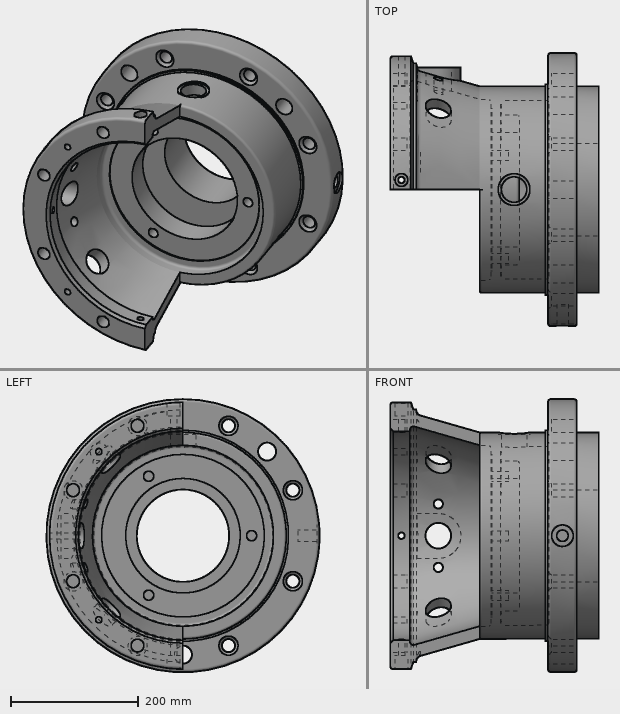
import cadquery as cq
import math

total_length = 328.0
body_front = 140.5
step_front = 244.0
rear_flange_front = 248.0
rear_flange_back = 293.5

rear_flange_radius = 215.0
front_flange_radius = 210.0
body_radius = 325.0 / 2
step_radius = 166.0
flange_round = 4.7
body_round = 4.0

bell_slope = math.tan(math.radians(16))
front_land_end = 32.5
shoulder_start = 36.5
shoulder_end = 41.3
shoulder_radius = 198.5
shoulder_round = 8.5
shoulder_foot_radius = body_radius + (body_front - shoulder_end) * bell_slope
bell_bore_radius = 164.3
bell_bore_end = 31.0
bell_bore_chamfer = 4.7
mouth_radius = 142.5
bell_cone_radius = mouth_radius + (body_front - bell_bore_end) * bell_slope
bell_cone_round = 5.5

mouth_floor = 158.0
recess_radius = 256.0 / 2
recess_floor = 160.0
hub_bore_radius = 180.0 / 2
hub_radius = 236.0 / 2
hub_end = 203.0
cavity_radius = 140.5
cavity_front = 173.5
cavity_back = 249.5
rear_bore_radius = 145.0 / 2
inner_round = 4.7

bolt_circle_radius = 187.0
rear_bolt_angles = [22.5 + 45 * i for i in range(8)]
front_bolt_angles = [-67.5, -22.5, 22.5, 67.5]
front_pin_angles = [-45, 45]
bolt_diameter = 20.0
front_pin_diameter = 10.0
front_hole_depth = 26.0
bolt_sink_diameter = 30.0
jack_hole_diameter = 28.0
jack_hole_angles = [45, 135, 270]
hub_hole_diameter = 16.0
hub_hole_circle_radius = 108.0
hub_hole_depth = 26.0
hub_hole_angles = [60, 180, 300]

window_x = 75.5
window_diameter = 40.0
window_angles = [-45, 0, 45]
boss_radius = 35.3
boss_top = 192.0
pilot_diameter = 14.0
pilot_offset = 50.0

flange_hole_x = 17.5
flange_hole_diameter = 10.0
joint_hole_y = 15.0
joint_sink_diameter = 20.0
joint_sink_depth = 21.5

port_x = 195.0
port_diameter = 40.0
port_spot_diameter = 50.0
port_spot_depth = 3.0
rim_hole_x = (rear_flange_front + rear_flange_back) / 2
rim_hole_diameter = 18.0
rim_hole_depth = 34.5
rim_spot_diameter = 34.0
rim_spot_depth = 4.5

ALONG_X = (1, 0, 0)


def turned(corners, angle=360):
    """Revolve a closed outline about the X axis, from +Z through +Y.

    Each corner is (x, radius) or (x, radius, rounding radius).
    """
    path = None
    for i, corner in enumerate(corners):
        here = cq.Vector(*corner[:2])
        if len(corner) == 2:
            stops = [here]
        else:
            to_previous = (cq.Vector(*corners[i - 1][:2]) - here).normalized()
            to_next = (cq.Vector(*corners[(i + 1) % len(corners)][:2]) - here).normalized()
            half_angle = to_previous.getAngle(to_next) / 2
            setback = corner[2] / math.tan(half_angle)
            bulge = corner[2] / math.sin(half_angle) - corner[2]
            middle = here + (to_previous + to_next).normalized() * bulge
            stops = [here + to_previous * setback, middle, here + to_next * setback]
        stops = [stop.toTuple()[:2] for stop in stops]
        path = path.lineTo(*stops[0]) if path else cq.Workplane("XZ").moveTo(*stops[0])
        if len(stops) == 3:
            path = path.threePointArc(stops[1], stops[2])
    return path.close().revolve(angle, (0, 0, 0), (-1, 0, 0))


def rod(diameter, start, direction, length):
    """Solid cylinder from a start point along a direction."""
    return cq.Workplane(
        cq.Solid.makeCylinder(diameter / 2, length, cq.Vector(*start), cq.Vector(*direction))
    )


def polar(x, radius, angle):
    """Point at station x, with the angle measured from +Y towards +Z."""
    turn = math.radians(angle)
    return (x, radius * math.cos(turn), radius * math.sin(turn))


def axial_rods(diameter, x, length, circle_radius, angles):
    """Cylinders parallel to X on a circle about the axis."""
    rods = cq.Workplane()
    for angle in angles:
        rods = rods.add(rod(diameter, polar(x, circle_radius, angle), ALONG_X, length))
    return rods.combine()


def make_body():
    """Body, rear flange and rear spigot without bores."""
    return turned([
        (body_front, 0),
        (body_front, body_radius, body_round),
        (step_front, body_radius),
        (step_front, step_radius),
        (rear_flange_front, step_radius),
        (rear_flange_front, rear_flange_radius, flange_round),
        (rear_flange_back, rear_flange_radius, flange_round),
        (rear_flange_back, body_radius),
        (total_length, body_radius),
        (total_length, 0),
    ])


def make_body_bores():
    """Mouth, hub bore, cavity around the hub and rear bore as one solid."""
    return turned([
        (body_front, 0),
        (body_front, mouth_radius),
        (mouth_floor, mouth_radius, inner_round),
        (mouth_floor, recess_radius),
        (recess_floor, recess_radius),
        (recess_floor, hub_bore_radius),
        (hub_end, hub_bore_radius),
        (hub_end, hub_radius, inner_round),
        (cavity_front, hub_radius, inner_round),
        (cavity_front, cavity_radius, inner_round),
        (cavity_back, cavity_radius, inner_round),
        (cavity_back, rear_bore_radius),
        (total_length, rear_bore_radius),
        (total_length, 0),
    ])


def make_bell():
    """Half bell on the +Y side with the boss around its middle window."""
    body_overlap = body_front + body_round
    outside = turned([
        (0, 0),
        (0, front_flange_radius, flange_round),
        (front_land_end, front_flange_radius),
        (shoulder_start, shoulder_radius),
        (shoulder_end, shoulder_radius),
        (shoulder_end, shoulder_foot_radius, shoulder_round),
        (body_front, body_radius),
        (body_overlap, body_radius),
        (body_overlap, 0),
    ], 180)
    boss = rod(2 * boss_radius, (window_x, 0, 0), (0, 1, 0), boss_top)
    boss_web = cq.Workplane().box(
        window_x - shoulder_start, boss_top, 2 * boss_radius, centered=(False, False, True)
    ).translate((shoulder_start, 0, 0))
    inside = turned([
        (0, 0),
        (0, bell_bore_radius + bell_bore_chamfer),
        (bell_bore_chamfer, bell_bore_radius),
        (bell_bore_end, bell_bore_radius),
        (bell_bore_end, bell_cone_radius, bell_cone_round),
        (body_front, mouth_radius),
        (body_overlap, mouth_radius),
        (body_overlap, 0),
    ])
    return outside.union(boss).union(boss_web).cut(inside)


def cut_axial_holes(part):
    """Bolt, pin, jack and hub holes parallel to X."""
    part = part.cut(axial_rods(
        bolt_diameter, 0, front_hole_depth, bolt_circle_radius, front_bolt_angles))
    part = part.cut(axial_rods(
        front_pin_diameter, 0, front_hole_depth, bolt_circle_radius, front_pin_angles))
    part = part.cut(axial_rods(
        hub_hole_diameter, recess_floor, hub_hole_depth, hub_hole_circle_radius, hub_hole_angles))
    flange_thickness = rear_flange_back - rear_flange_front
    part = part.cut(axial_rods(
        jack_hole_diameter, rear_flange_front, flange_thickness, bolt_circle_radius, jack_hole_angles))
    part = part.cut(axial_rods(
        bolt_diameter, rear_flange_front, flange_thickness, bolt_circle_radius, rear_bolt_angles))
    for angle in rear_bolt_angles:
        sink = cq.Solid.makeCone(
            bolt_sink_diameter / 2,
            bolt_diameter / 2,
            (bolt_sink_diameter - bolt_diameter) / 2,
            cq.Vector(*polar(rear_flange_front, bolt_circle_radius, angle)),
            cq.Vector(*ALONG_X),
        )
        part = part.cut(cq.Workplane(sink))
    return part


def cut_bell_holes(part):
    """Windows, pilot holes and the radial holes of the front flange."""
    reach = rear_flange_radius
    for angle in window_angles:
        part = part.cut(rod(window_diameter, (window_x, 0, 0), polar(0, 1, angle), reach))
    for z in (-pilot_offset, pilot_offset):
        part = part.cut(rod(pilot_diameter, (window_x, 0, z), (0, 1, 0), reach))
    part = part.cut(rod(flange_hole_diameter, (flange_hole_x, 0, 0), (0, 1, 0), reach))
    joint_start = (flange_hole_x, joint_hole_y, -reach)
    part = part.cut(rod(flange_hole_diameter, joint_start, (0, 0, 1), 2 * reach))
    sink_floor = front_flange_radius - joint_sink_depth
    for side in (-1, 1):
        sink_start = (flange_hole_x, joint_hole_y, side * sink_floor)
        part = part.cut(rod(joint_sink_diameter, sink_start, (0, 0, side), reach))
    return part


def cut_body_holes(part):
    """Top port into the cavity and the hole in the rear flange rim."""
    port_start = (port_x, 0, cavity_radius - inner_round)
    part = part.cut(rod(port_diameter, port_start, (0, 0, 1), body_radius))
    spot_start = (port_x, 0, body_radius - port_spot_depth)
    part = part.cut(rod(port_spot_diameter, spot_start, (0, 0, 1), body_radius))
    for diameter, depth in ((rim_hole_diameter, rim_hole_depth), (rim_spot_diameter, rim_spot_depth)):
        start = (rim_hole_x, depth - rear_flange_radius, 0)
        part = part.cut(rod(diameter, start, (0, -1, 0), rear_flange_radius))
    return part


result = make_body().cut(make_body_bores()).union(make_bell())
result = cut_axial_holes(result)
result = cut_bell_holes(result)
result = cut_body_holes(result)